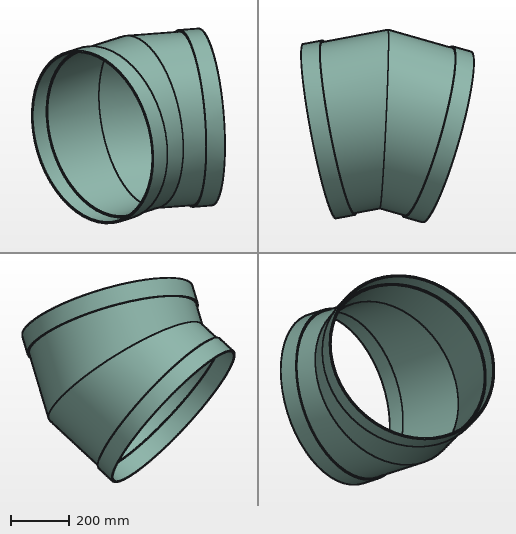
import cadquery as cq
import math

overall_width = 684.5
bend_angle = 30.0
collar_diameter = 612.0
pipe_diameter = 600.0
bore_diameter = 588.0
collar_length = 66.5
socket_depth = 63.5

bend = math.radians(bend_angle)
collar_radius = collar_diameter / 2
pipe_radius = pipe_diameter / 2
bore_radius = bore_diameter / 2
leg_length = (overall_width - collar_radius * (1 + math.cos(bend))) / math.sin(bend)
mitre_rise = pipe_radius * math.tan(bend / 2)
blank_length = leg_length + 2 * mitre_rise


def make_mitre_cutter():
    """Wedge beyond the mitre plane, which passes through the bend point."""
    half_width = collar_diameter
    plane_rise = half_width * math.tan(bend / 2)
    return (
        cq.Workplane("XY")
        .moveTo(-half_width, leg_length + plane_rise)
        .lineTo(half_width, leg_length - plane_rise)
        .lineTo(half_width, 2 * blank_length)
        .lineTo(-half_width, 2 * blank_length)
        .close()
        .extrude(collar_diameter, both=True)
    )


def make_elbow_half():
    """Pipe along +Y with a socket collar at its open end and a mitred inner end."""
    wall_profile = (
        cq.Workplane("XY")
        .moveTo(pipe_radius, 0)
        .lineTo(collar_radius, 0)
        .lineTo(collar_radius, collar_length)
        .lineTo(pipe_radius, collar_length)
        .lineTo(pipe_radius, blank_length)
        .lineTo(bore_radius, blank_length)
        .lineTo(bore_radius, socket_depth)
        .lineTo(pipe_radius, socket_depth)
        .close()
    )
    blank = wall_profile.revolve(360, (0, 0, 0), (0, 1, 0))
    return blank.cut(make_mitre_cutter())


inlet_half = make_elbow_half()

outlet_half = (
    make_elbow_half()
    .mirror("XZ", (0, leg_length, 0))
    .rotate((0, leg_length, 0), (0, leg_length, 1), -bend_angle)
)

result = cq.Compound.makeCompound([inlet_half.val(), outlet_half.val()])